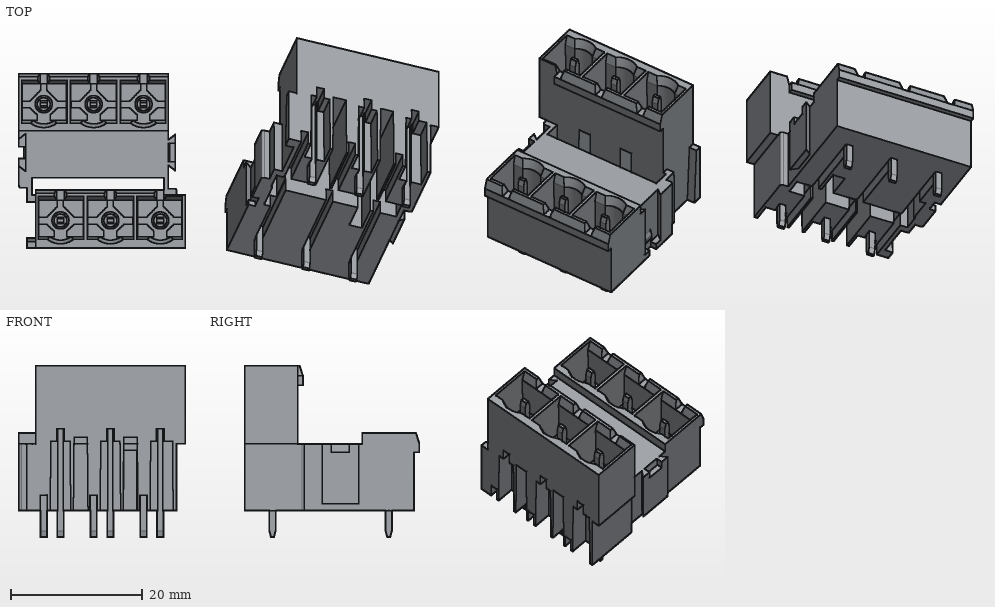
import cadquery as cq

POLES = 3
PITCH = 7.62
ROW_WIDTH = POLES * PITCH
ROW_SHIFT = 2.55
REAR_PIN_Y = 21.97
FRONT_PIN_Y = 4.23
DECK_Z = 10.2
REAR_TOP_Z = 11.88
FRONT_TOP_Z = 22.1

BACK_FACE = 3.9
LIP_DEPTH = 0.77
LIP_DROP = 2.98
LIP_Y = BACK_FACE + LIP_DEPTH
RIM_DROP = 1.55
LIP_SLOPE = 0.5
OUTER_WALL = 0.43
PARTITION = 0.5
CAVITY_DEPTH = 8.4
CAVITY_DRAFT = 0.1
CAVITY_BACK = 3.12
CAVITY_FRONT = -2.45
BACK_SLOPE = 0.55
FRONT_SLOPE = 0.45
BULGE_CENTRE = -0.32
BULGE_RADIUS = 2.7
BULGE_FLARE = 0.55
NOTCH_HALF_BOTTOM = 0.55
NOTCH_HALF_TOP = 0.93
PAD_HEIGHT = 0.27
BACK_PAD_EDGE = ((0.45, CAVITY_BACK), (0.45, 2.15), (2.13, 0.45))
FRONT_PAD_EDGE = ((0.99, CAVITY_FRONT), (0.99, -1.62), (2.13, -0.55))
COLLAR_RADIUS = 1.3
COLLAR_TOP_RADIUS = 0.99
COLLAR_HEIGHT = 0.8
REAR_ROW_FRONT_Y = 17.9
FRONT_LIP_END_X = 22.15

PIN_SIZE = 1.0
PIN_TIP_HALF = 0.25
PIN_TIP_LENGTH = 0.99
PIN_BOTTOM_Z = -4.05
PIN_RIM_GAP = 1.12

STEP = 1.25
LEFT_STEP_Y = 9.2
RIGHT_STEP_Y = 9.1
STEP_RADIUS = 0.37
FOOT_TOP_Y = 1.0
FOOT_BOTTOM_Y = 1.57
STRIP_TOP_Y = 7.08
STRIP_BOTTOM_Y = 6.98
SLOT_LEFT = 2.02
SLOT_BACK_Y = 10.73
SLOT_FRONT_Y = FRONT_PIN_Y + BACK_FACE

DOVETAIL_Y = 14.6
DOVETAIL_DEPTH = 1.05
SOCKET_HALF_MOUTH = 2.05
SOCKET_HALF_ROOT = 2.88
SOCKET_FLOOR_Z = 1.0
KEY_HALF_MOUTH = 1.97
KEY_HALF_ROOT = 2.8
SOCKET_NOTCH_HALF = 0.88
CATCH_HALF = 0.83
CATCH_DEPTH = 0.3
CATCH_BOTTOM_Z = 2.0
CATCH_TIP_TOP_Z = 2.48
CATCH_SHOULDER_Z = 2.72
CATCH_SHOULDER_DEPTH = 0.25
CATCH_TOP_Z = 3.57
KEY_POCKET_HALF = 1.38
KEY_POCKET_DEPTH = 1.33
KEY_POCKET_SLOPE = 0.15

SLIT_HALF = 0.59
SLIT_TOP_Z = 12.52
INNER_SLIT_HALF = 0.4
BAY_DEPTH = 2.93
BAY_HALF = 1.46
BAY_TOP_Z = 10.55
LAST_BAY_RIGHT = 1.86
PASSAGE_HALF = 1.0
PASSAGE_TOP_Z = 11.2
PASSAGE_OFFSET = 3.1
TUNNEL_HALF = 0.55
TUNNEL_TOP_Z = 2.35
OPENING_FLARE = 0.1
POCKET_WIDTH = 2.02
POCKET_TOP_Z = 9.2
POCKET_DEPTH = 4.0
POCKET_LEFTS = (2.25, 15.98)


def box(x0, x1, y0, y1, z0, z1):
    return cq.Workplane("XY").box(x1 - x0, y1 - y0, z1 - z0, centered=False).translate((x0, y0, z0))


def prism_x(points, x0, x1):
    """Extrude a (y, z) outline from x0 to x1."""
    return cq.Workplane("YZ").polyline(points).close().extrude(x1 - x0).translate((x0, 0, 0))


def prism_y(points, y0, y1):
    """Extrude an (x, z) outline from y0 to y1."""
    return cq.Workplane("XZ").polyline(points).close().extrude(y0 - y1).translate((0, y0, 0))


def prism_z(points, z0, z1):
    """Extrude an (x, y) outline from z0 to z1."""
    return cq.Workplane("XY").polyline(points).close().extrude(z1 - z0).translate((0, 0, z0))


def cone(x, y, z, height, bottom_radius, top_radius):
    solid = cq.Solid.makeCone(bottom_radius, top_radius, height, cq.Vector(x, y, z))
    return cq.Workplane(obj=solid)


def pole_positions(row_x):
    return [row_x + (i + 0.5) * PITCH for i in range(POLES)]


FRONT_POLES = pole_positions(ROW_SHIFT)
REAR_POLES = pole_positions(0)


def make_base():
    right_x = ROW_WIDTH + STEP
    outline = [
        (STEP, 0), (right_x, 0), (right_x, RIGHT_STEP_Y), (ROW_WIDTH, RIGHT_STEP_Y),
        (ROW_WIDTH, REAR_PIN_Y + BACK_FACE), (0, REAR_PIN_Y + BACK_FACE),
        (0, LEFT_STEP_Y), (STEP, LEFT_STEP_Y),
    ]
    base = prism_z(outline, 0, DECK_Z)
    for x, y in ((0, LEFT_STEP_Y), (right_x, RIGHT_STEP_Y)):
        corner = cq.selectors.NearestToPointSelector((x, y, DECK_Z / 2))
        base = base.edges("|Z").edges(corner).fillet(STEP_RADIUS)
    side_recess = [(FOOT_BOTTOM_Y, 0), (FOOT_TOP_Y, DECK_Z), (STRIP_TOP_Y, DECK_Z), (STRIP_BOTTOM_Y, 0)]
    return base.cut(prism_x(side_recess, STEP, ROW_SHIFT))


def dovetail_outline(x, half_mouth, half_root):
    """Dovetail that widens over its depth from its mouth at x toward +X."""
    return [
        (x, DOVETAIL_Y - half_mouth), (x + DOVETAIL_DEPTH, DOVETAIL_Y - half_root),
        (x + DOVETAIL_DEPTH, DOVETAIL_Y + half_root), (x, DOVETAIL_Y + half_mouth),
    ]


def cut_socket(base):
    socket = prism_z(dovetail_outline(0, SOCKET_HALF_MOUTH, SOCKET_HALF_ROOT), SOCKET_FLOOR_Z, DECK_Z)
    notch = box(0, DOVETAIL_DEPTH, DOVETAIL_Y - SOCKET_NOTCH_HALF, DOVETAIL_Y + SOCKET_NOTCH_HALF,
                0, SOCKET_FLOOR_Z)
    catch_tip = DOVETAIL_DEPTH - CATCH_DEPTH
    catch_outline = [
        (DOVETAIL_DEPTH, CATCH_BOTTOM_Z), (catch_tip, CATCH_BOTTOM_Z), (catch_tip, CATCH_TIP_TOP_Z),
        (DOVETAIL_DEPTH - CATCH_SHOULDER_DEPTH, CATCH_SHOULDER_Z), (DOVETAIL_DEPTH, CATCH_TOP_Z),
    ]
    catch = prism_y(catch_outline, DOVETAIL_Y - CATCH_HALF, DOVETAIL_Y + CATCH_HALF)
    return base.cut(socket).cut(notch).union(catch)


def make_key():
    key = prism_z(dovetail_outline(ROW_WIDTH, KEY_HALF_MOUTH, KEY_HALF_ROOT), SOCKET_FLOOR_Z, DECK_Z)
    outer_x = ROW_WIDTH + DOVETAIL_DEPTH
    floor_z = DECK_Z - KEY_POCKET_DEPTH
    pocket = [(ROW_WIDTH, DECK_Z), (ROW_WIDTH + KEY_POCKET_SLOPE, floor_z), (outer_x, floor_z),
              (outer_x, DECK_Z)]
    return key.cut(prism_y(pocket, DOVETAIL_Y - KEY_POCKET_HALF, DOVETAIL_Y + KEY_POCKET_HALF))


def make_row_block(row_x, pin_y, front_y, top_z):
    back = pin_y + BACK_FACE
    lip = pin_y + LIP_Y
    profile = [
        (front_y, DECK_Z), (front_y, top_z), (lip - LIP_SLOPE, top_z), (lip, top_z - RIM_DROP),
        (lip, top_z - LIP_DROP), (back, top_z - LIP_DROP), (back, DECK_Z),
    ]
    return prism_x(profile, row_x, row_x + ROW_WIDTH)


def cell_bounds(row_x, index):
    left_wall = OUTER_WALL if index == 0 else PARTITION / 2
    right_wall = OUTER_WALL if index == POLES - 1 else PARTITION / 2
    return row_x + index * PITCH + left_wall, row_x + (index + 1) * PITCH - right_wall


def make_cavity(left, right, pole_x, pin_y, top_z):
    floor_z = top_z - CAVITY_DEPTH
    slope_z = top_z - RIM_DROP
    back = pin_y + CAVITY_BACK
    front = pin_y + CAVITY_FRONT
    section = [(left, top_z), (right, top_z), (right - CAVITY_DRAFT, floor_z), (left + CAVITY_DRAFT, floor_z)]
    side_profile = [
        (front, floor_z), (front, slope_z), (front - FRONT_SLOPE, top_z),
        (back + BACK_SLOPE, top_z), (back, slope_z), (back, floor_z),
    ]
    draft = prism_y(section, front - BULGE_RADIUS, back + BACK_SLOPE)
    cavity = draft.intersect(prism_x(side_profile, left, right))

    bulge_y = pin_y + BULGE_CENTRE
    bulge = cq.Workplane("XY").circle(BULGE_RADIUS).extrude(CAVITY_DEPTH - RIM_DROP)
    bulge = bulge.translate((pole_x, bulge_y, floor_z))
    bulge = bulge.union(cone(pole_x, bulge_y, slope_z, RIM_DROP, BULGE_RADIUS, BULGE_RADIUS + BULGE_FLARE))
    bulge = bulge.intersect(draft).intersect(box(left, right, front - BULGE_RADIUS, bulge_y, floor_z, top_z))
    cavity = cavity.union(bulge)

    notch = [
        (pole_x - NOTCH_HALF_BOTTOM, slope_z), (pole_x - NOTCH_HALF_TOP, top_z),
        (pole_x + NOTCH_HALF_TOP, top_z), (pole_x + NOTCH_HALF_BOTTOM, slope_z),
    ]
    return cavity.union(prism_y(notch, back, pin_y + LIP_Y))


def make_floor_details(left, right, pole_x, pin_y, top_z):
    """Corner pads that leave a cross of channels, and the collar round the pin."""
    floor_z = top_z - CAVITY_DEPTH
    pads = []
    for side, wall_x in ((-1, left), (1, right)):
        for inner in (BACK_PAD_EDGE, FRONT_PAD_EDGE):
            points = [(pole_x + side * x, pin_y + y) for x, y in inner]
            points += [(wall_x, points[-1][1]), (wall_x, points[0][1])]
            pads.append(prism_z(points, floor_z, floor_z + PAD_HEIGHT))
    collar = cone(pole_x, pin_y, floor_z, COLLAR_HEIGHT, COLLAR_RADIUS, COLLAR_TOP_RADIUS)
    return pads + [collar]


def add_cells(body, row_x, pin_y, top_z):
    for index, pole_x in enumerate(pole_positions(row_x)):
        left, right = cell_bounds(row_x, index)
        body = body.cut(make_cavity(left, right, pole_x, pin_y, top_z))
        for detail in make_floor_details(left, right, pole_x, pin_y, top_z):
            body = body.union(detail)
    return body


def opening(left, right, top_z, y0, y1):
    outline = [(left - OPENING_FLARE, 0), (left, top_z), (right, top_z), (right + OPENING_FLARE, 0)]
    return prism_y(outline, y0, y1)


def cut_openings(body):
    pin_front = FRONT_PIN_Y - PIN_SIZE / 2
    for index, x in enumerate(FRONT_POLES):
        is_last = index == POLES - 1
        bay_right = LAST_BAY_RIGHT if is_last else BAY_HALF
        body = body.cut(opening(x - BAY_HALF, x + bay_right, BAY_TOP_Z, 0, BAY_DEPTH))
        body = body.cut(box(x - SLIT_HALF, x + SLIT_HALF, 0, BAY_DEPTH, 0, SLIT_TOP_Z))
        body = body.cut(box(x - INNER_SLIT_HALF, x + INNER_SLIT_HALF, BAY_DEPTH, pin_front, 0, SLIT_TOP_Z))
        if not is_last:
            passage_x = x + PASSAGE_OFFSET
            body = body.cut(opening(passage_x - PASSAGE_HALF, passage_x + PASSAGE_HALF,
                                    PASSAGE_TOP_Z, 0, SLOT_FRONT_Y))
    for x in REAR_POLES:
        body = body.cut(box(x - TUNNEL_HALF, x + TUNNEL_HALF, 0, REAR_PIN_Y, 0, TUNNEL_TOP_Z))
    for left in POCKET_LEFTS:
        body = body.cut(box(left, left + POCKET_WIDTH, SLOT_BACK_Y, SLOT_BACK_Y + POCKET_DEPTH,
                            0, POCKET_TOP_Z))
    return body


def make_pin(x, y, top_z):
    """Square pin whose ends taper in Y."""
    half = PIN_SIZE / 2
    right_side = [
        (y + PIN_TIP_HALF, PIN_BOTTOM_Z), (y + half, PIN_BOTTOM_Z + PIN_TIP_LENGTH),
        (y + half, top_z - PIN_TIP_LENGTH), (y + PIN_TIP_HALF, top_z),
    ]
    left_side = [(2 * y - py, pz) for py, pz in reversed(right_side)]
    return prism_x(right_side + left_side, x - half, x + half)


body = cut_socket(make_base()).union(make_key())
body = body.cut(box(SLOT_LEFT, FRONT_LIP_END_X, SLOT_FRONT_Y, SLOT_BACK_Y, 0, DECK_Z))

front_block = make_row_block(ROW_SHIFT, FRONT_PIN_Y, 0, FRONT_TOP_Z)
lip_end = box(FRONT_LIP_END_X, ROW_SHIFT + ROW_WIDTH, SLOT_FRONT_Y, FRONT_PIN_Y + LIP_Y, DECK_Z, FRONT_TOP_Z)
front_block = front_block.cut(lip_end)
rear_block = make_row_block(0, REAR_PIN_Y, REAR_ROW_FRONT_Y, REAR_TOP_Z)
body = body.union(front_block).union(rear_block)
body = add_cells(body, ROW_SHIFT, FRONT_PIN_Y, FRONT_TOP_Z)
body = add_cells(body, 0, REAR_PIN_Y, REAR_TOP_Z)
body = cut_openings(body)

for pole_x in FRONT_POLES:
    body = body.union(make_pin(pole_x, FRONT_PIN_Y, FRONT_TOP_Z - PIN_RIM_GAP))
for pole_x in REAR_POLES:
    body = body.union(make_pin(pole_x, REAR_PIN_Y, REAR_TOP_Z - PIN_RIM_GAP))

result = body